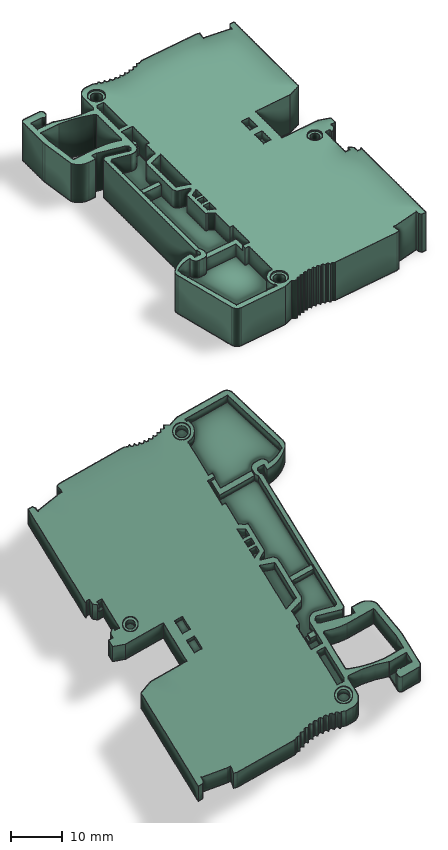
import cadquery as cq
import math

LENGTH = 67.7
WIDTH = 49.6
THICKNESS = 10.2

CHANNEL_FLOOR = 5.6
RECESS_FLOOR = 4.6
RIB_TOP = 8.9
BRACE_TOP = 8.6
BRACE_REAR_TOP = 7.6
HOOK_FLOOR = 1.0
WINDOW_FLOOR = 8.2
BRIDGE_FLOOR = 5.1

SHOULDER_Y = 42.4
FOOT_TOP_Y = 13.55
RAIL_WALL_Y = 6.9
RAIL_LIP_Y = 5.7
BODY_EDGE_Y = 16.05
RECESS_EDGE_Y = 16.8
CHANNEL_WALL_Y = 14.2
HOOK_TOP_Y = 5.0
WIRE_SLOT_Y = 38.7
NOTCH_Y = 46.5
NOTCH_LEDGE_Y = 48.6

NOTCH_X = (37.35, 42.8)
UNDERCUT_WIDTH = 0.65
UNDERCUT_HEIGHT = 1.05

CROSS_RIB_X = (50.25, 51.4)
CROSS_RIB_FOOT_Y = 8.2
RIB_ARM_Y = 15.15
CHANNEL_WALL_INNER_Y = 7.8
BLOCK_Y = 13.0
CHANNEL_BRACE_X = 28.3
CHANNEL_BRACE_WIDTH = 1.0
BRACE_OVERLAP = 0.1
END_BRACE_X = (16.4, 17.5)
END_BRACE_STEP_Y = 15.6

LEFT_RECESS_X = (14.1, 19.7)
RIGHT_RECESS_X = (48.0, 53.6)
SMALL_POCKET_Y = 15.35
SMALL_POCKET_SPANS = [
    ((36.4, 37.5), (35.6, 37.5)),
    ((38.1, 39.4), (38.1, 39.4)),
    ((40.1, 41.5), (40.1, 42.3)),
]

TEETH = 9
TOOTH_HEIGHT = 0.4
TOOTH_BASE_SHARE = 0.65
LEFT_GRIP_DEPTH = 1.4
RIGHT_GRIP_DEPTH = 1.3
GRIP_BOTTOM_Y = 17.3
LEFT_GRIP_TOP_Y = 28.7
RIGHT_GRIP_TOP_Y = 27.2

WINDOW_Y = (34.85, 36.6)
WINDOW_SPANS = [(25.0, 27.9), (29.5, 32.5)]

LEFT_SOCKET = (3.05, 16.0, 1.75)
RIGHT_SOCKET = (64.8, 16.0, 1.75)
UPPER_SOCKET = (36.3, 44.3, 1.5)
SOCKET_STEP = 0.55
SOCKET_DEPTHS = [0.4, 3.0]
BOSS_RADIUS = 2.45


def trace(path):
    """Closed wire through path: a point is a line, a (middle, end) pair is an arc."""
    wire = cq.Workplane("XY").moveTo(*path[0])
    for step in path[1:]:
        if isinstance(step[0], tuple):
            wire = wire.threePointArc(*step)
        else:
            wire = wire.lineTo(*step)
    return wire.close()


def cutter(path, floor):
    """Prism over path reaching from floor up to the top face."""
    return trace(path).extrude(THICKNESS - floor).translate((0, 0, floor))


def box_cutter(x_min, x_max, y_min, y_max, floor):
    return cutter([(x_min, y_min), (x_max, y_min), (x_max, y_max), (x_min, y_max)], floor)


def mirror_x(points):
    """Reflect points about the middle of the length and reverse their order."""
    return [(LENGTH - x, y) for x, y in reversed(points)]


def grip_profile(top_y, depth):
    """Hollow arc with narrow ridges in the left end face, listed from bottom to top."""
    half_span = (top_y - GRIP_BOTTOM_Y) / 2
    middle_y = GRIP_BOTTOM_Y + half_span
    radius = (half_span ** 2 + depth ** 2) / (2 * depth)
    center_x = depth - radius
    half_angle = math.asin(half_span / radius)
    points = [(0, GRIP_BOTTOM_Y)]
    pitch = 2 * half_angle / (TEETH + 1)
    for i in range(1, TEETH + 1):
        crest_angle = i * pitch - half_angle
        flank = pitch * TOOTH_BASE_SHARE / 2
        for offset, height in [(-flank, 0), (0, TOOTH_HEIGHT), (flank, 0)]:
            reach = radius - height
            x = center_x + reach * math.cos(crest_angle + offset)
            y = middle_y + reach * math.sin(crest_angle + offset)
            points.append((x, y))
    points.append((0, top_y))
    return points


def end_lip():
    """Shoulder and hooked lip at the upper left corner, from bottom to top."""
    return [
        (0, SHOULDER_Y - 0.7), (0.2, SHOULDER_Y), (1.2, SHOULDER_Y - 0.2), (1.75, SHOULDER_Y - 0.2),
        (1.75, SHOULDER_Y + 0.4), (2.6, 48.0), (2.8, 48.2), (2.0, 48.2), (1.4, 48.6), (1.4, WIDTH),
    ]


def body():
    left_end = grip_profile(LEFT_GRIP_TOP_Y, LEFT_GRIP_DEPTH) + end_lip()
    wire_slot = [
        (23.25, WIDTH), (24.3, 46.85), (24.3, WIRE_SLOT_Y),
        (33.25, WIRE_SLOT_Y), (33.25, 47.2), (34.1, WIDTH),
    ]
    notch_left, notch_right = NOTCH_X
    bridge_notch = [
        (35.6, WIDTH), (35.6, NOTCH_LEDGE_Y), (36.6, NOTCH_LEDGE_Y),
        (notch_left, 47.8), (notch_left, NOTCH_Y),
        (notch_right, NOTCH_Y), (notch_right, 47.8), (43.5, NOTCH_LEDGE_Y), (44.6, NOTCH_LEDGE_Y),
        (44.6, 49.2), (44.3, WIDTH),
    ]
    right_grip = mirror_x(grip_profile(RIGHT_GRIP_TOP_Y, RIGHT_GRIP_DEPTH))
    right_end = mirror_x(end_lip()) + right_grip[:-1]
    right_foot = [
        (67.05, GRIP_BOTTOM_Y), (LENGTH, 15.4), (LENGTH, 5.1), ((67.37, 4.12), (66.5, 3.55)),
        (53.3, 0.08), ((52.45, 0.09), (51.8, 0.5)), ((50.25, 2.8), (49.7, RAIL_LIP_Y)),
        (50.95, RAIL_LIP_Y), (50.95, 6.9), ((50.8, 7.2), (50.5, 7.3)), (49.65, 7.2),
        (49.65, RAIL_WALL_Y),
    ]
    spring_slot = [
        (18.4, RAIL_WALL_Y), (18.0, 7.45), (19.3, 12.0), ((19.3, 12.7), (18.9, 13.05)),
        (18.2, 13.05), (17.85, 12.6), (16.25, 6.75),
    ]
    left_foot = [
        (16.25, RAIL_LIP_Y), (17.5, RAIL_LIP_Y), (17.5, 4.15), ((17.0, 2.3), (15.8, 1.1)),
        (8.5, 0.05), (7.75, 0), (1.2, 0), ((0.65, 0.2), (0.45, 0.75)),
        (0.45, 4.3), ((0.65, 4.8), (1.2, HOOK_TOP_Y)), (4.35, HOOK_TOP_Y),
        ((5.45, 8.9), (5.9, 13.1)), ((5.78, 13.38), (5.5, FOOT_TOP_Y)),
        (2.1, FOOT_TOP_Y), ((0.62, 14.17), (0, 15.65)),
    ]
    path = left_end + wire_slot + bridge_notch + right_end + right_foot + spring_slot + left_foot
    return trace(path).extrude(THICKNESS)


def foot_window():
    """Opening through the full thickness of the left foot."""
    return cutter([
        (7.4, 13.0), (15.7, 13.0), ((15.91, 12.91), (16.0, 12.7)), ((15.35, 10.2), (15.1, 8.1)), (15.1, 2.15),
        (8.1, 1.2), (5.4, 1.2), (5.4, 5.5), ((6.0, 9.1), (7.1, 12.5)),
    ], 0)


def hook_slot():
    return cutter([
        (2.1, 1.2), (4.25, 1.2), (4.25, HOOK_TOP_Y), (1.8, HOOK_TOP_Y), (2.4, 4.4), (2.1, 3.8),
    ], HOOK_FLOOR)


def main_channel():
    """Open channel between the body and the rail wall, running around the two pocket blocks."""
    return cutter([
        (END_BRACE_X[1], BODY_EDGE_Y), (22.75, BODY_EDGE_Y), (23.35, 14.05), ((23.7, 13.3), (24.4, BLOCK_Y)),
        (32.8, BLOCK_Y), ((33.6, 13.3), (34.1, 14.2)), (34.65, BODY_EDGE_Y), (34.95, BODY_EDGE_Y),
        (35.85, 14.4), (42.3, 14.4), (42.3, 14.9), (43.05, BODY_EDGE_Y), (CROSS_RIB_X[0], BODY_EDGE_Y),
        (CROSS_RIB_X[0], CROSS_RIB_FOOT_Y), (49.4, CHANNEL_WALL_INNER_Y),
        (19.7, CHANNEL_WALL_INNER_Y), (19.35, 8.3), (20.3, 11.95),
        ((20.2, 13.3), (19.0, CHANNEL_WALL_Y)), (END_BRACE_X[1], CHANNEL_WALL_Y),
    ], CHANNEL_FLOOR)


def right_foot_pocket():
    boss_x, boss_y = RIGHT_SOCKET[:2]
    swing = math.radians(225)
    boss_side = (boss_x + BOSS_RADIUS * math.cos(swing), boss_y + BOSS_RADIUS * math.sin(swing))
    return cutter([
        (CROSS_RIB_X[1], RIB_ARM_Y), (54.5, RIB_ARM_Y), (54.5, BODY_EDGE_Y),
        (boss_x - BOSS_RADIUS, BODY_EDGE_Y),
        (boss_side, (66.0, 13.87)), (66.0, 14.2), (66.55, 14.2), (66.55, 4.7), (53.2, 1.0), (52.1, 1.0),
        ((51.15, 2.8), (50.75, 4.75)), ((51.8, 5.1), (52.2, 6.0)), (52.2, 7.0),
        ((52.0, 7.7), (CROSS_RIB_X[1], CROSS_RIB_FOOT_Y)),
    ], CHANNEL_FLOOR)


def lowered_ribs():
    """Material removed above the ribs that stay below the top face."""
    cross_rib = box_cutter(*CROSS_RIB_X, CROSS_RIB_FOOT_Y, BODY_EDGE_Y, RIB_TOP)
    rib_arm = box_cutter(CROSS_RIB_X[1], RIGHT_RECESS_X[1], RIB_ARM_Y, BODY_EDGE_Y, RIB_TOP)
    brace = box_cutter(*END_BRACE_X, CHANNEL_WALL_Y, END_BRACE_STEP_Y, RIB_TOP)
    brace_rear = box_cutter(*END_BRACE_X, END_BRACE_STEP_Y, BODY_EDGE_Y, BRACE_REAR_TOP)
    return [cross_rib, rib_arm, brace, brace_rear]


def channel_brace():
    """Low rib between the wide pocket block and the rail wall."""
    start_y = CHANNEL_WALL_INNER_Y - BRACE_OVERLAP
    length = BLOCK_Y + BRACE_OVERLAP - start_y
    brace = cq.Workplane("XY").box(CHANNEL_BRACE_WIDTH, length, BRACE_TOP, centered=False)
    return brace.translate((CHANNEL_BRACE_X, start_y, 0))


def body_recesses():
    left = box_cutter(*LEFT_RECESS_X, BODY_EDGE_Y, RECESS_EDGE_Y, RECESS_FLOOR)
    right = box_cutter(*RIGHT_RECESS_X, BODY_EDGE_Y, RECESS_EDGE_Y, RECESS_FLOOR)
    return [left, right]


def edge_pockets():
    """Closed pockets along the edge of the solid body."""
    long_slot = [
        (6.0, CHANNEL_WALL_Y), (13.2, CHANNEL_WALL_Y), (13.2, BODY_EDGE_Y), (5.4, BODY_EDGE_Y), (5.4, 14.5),
    ]
    square_left, square_right = LEFT_RECESS_X[0], END_BRACE_X[0]
    square = [
        (square_left, CHANNEL_WALL_Y), (square_right, CHANNEL_WALL_Y),
        (square_right, BODY_EDGE_Y), (square_left, BODY_EDGE_Y),
    ]
    wide = [(24.6, 13.95), (32.8, 13.95), (33.8, RECESS_EDGE_Y), (23.6, RECESS_EDGE_Y)]
    pockets = [long_slot, square, wide]
    for front, rear in SMALL_POCKET_SPANS:
        front_side = [(x, SMALL_POCKET_Y) for x in front]
        rear_side = [(x, RECESS_EDGE_Y) for x in reversed(rear)]
        pockets.append(front_side + rear_side)
    return [cutter(path, CHANNEL_FLOOR) for path in pockets]


def marker_windows():
    return [box_cutter(x_min, x_max, *WINDOW_Y, WINDOW_FLOOR) for x_min, x_max in WINDOW_SPANS]


def bridge_undercuts():
    """Side pockets at the bottom corners of the bridge notch."""
    top_y = NOTCH_Y + UNDERCUT_HEIGHT
    starts = [NOTCH_X[0] - UNDERCUT_WIDTH, NOTCH_X[1]]
    return [box_cutter(x, x + UNDERCUT_WIDTH, NOTCH_Y, top_y, BRIDGE_FLOOR) for x in starts]


def sockets():
    tools = []
    for x, y, rim_radius in [LEFT_SOCKET, RIGHT_SOCKET, UPPER_SOCKET]:
        for i, depth in enumerate(SOCKET_DEPTHS):
            disc = cq.Workplane("XY").circle(rim_radius - i * SOCKET_STEP).extrude(depth)
            tools.append(disc.translate((x, y, THICKNESS - depth)))
    return tools


result = body().cut(foot_window()).cut(hook_slot())
result = result.cut(main_channel()).cut(right_foot_pocket())
for tool in lowered_ribs() + body_recesses() + edge_pockets():
    result = result.cut(tool)
result = result.union(channel_brace())
for tool in marker_windows() + bridge_undercuts() + sockets():
    result = result.cut(tool)